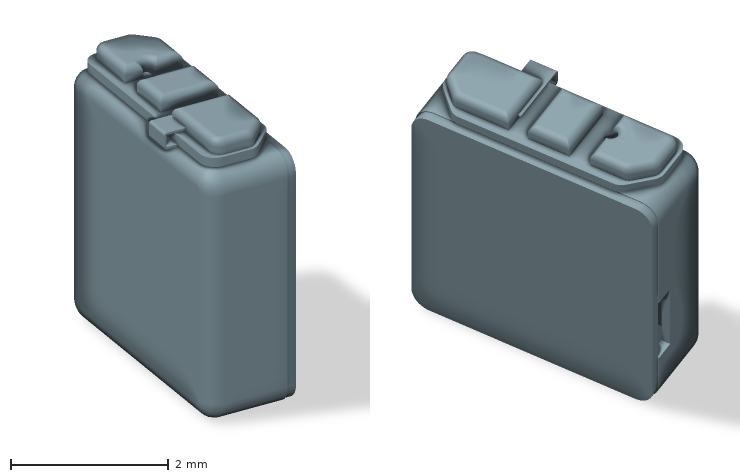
import cadquery as cq

cos_45 = 0.5**0.5

case_side = 3.58
case_corner_radius = 0.277
case_front_fillet = 0.23
case_depth = 1.295
wall = 0.13

back_inset = 0.015
shell_depth = case_depth - wall

window_bottom = 0.805
window_height = 1.025
window_width = 0.285

strip_thickness = 0.03
board_bottom = case_side + strip_thickness
board_thickness = 0.13
board_top = board_bottom + board_thickness
board_half_width = 1.615
board_front = 0.103
board_back = 1.2
board_chamfer = 0.392
board_corner_radius = 0.21

total_height = 3.96
button_side_inset = 0.05
button_front_inset = 0.125
button_back_inset = 0.123
button_half_width = board_half_width - button_side_inset
button_front = board_front + button_front_inset
button_back = board_back - button_back_inset
button_chamfer = 0.29
button_corner_radius = 0.15
button_top_fillet = 0.103
left_button_end = -0.725
middle_button_start = -0.425
middle_button_end = 0.185
right_button_start = 0.47

well_x = -0.74
well_y = 0.585
well_radius = 0.095
dome_center_height = 0.03
dome_center_z = board_top + dome_center_height

strip_start = 0.428
strip_width = 0.392
strip_front = -0.085
strip_top = 3.817
strip_upper_end = 0.845
strip_lower_end = 0.505
strip_bend_radius = 0.04


def upright_block(side, corner_radius, y_start, y_end):
    """Square block with rounded corners, centred in the case outline, between two Y positions."""
    return (
        cq.Workplane("XZ", origin=(0, y_start, case_side / 2))
        .rect(side, side)
        .extrude(y_start - y_end)
        .edges("|Y")
        .fillet(corner_radius)
    )


def make_case():
    shell = upright_block(case_side, case_corner_radius, 0, shell_depth)
    shell = shell.faces("<Y").edges().fillet(case_front_fillet)
    back_plate = upright_block(
        case_side - 2 * back_inset, case_corner_radius - back_inset, shell_depth, case_depth
    )
    cavity = upright_block(case_side - 2 * wall, case_corner_radius - wall, wall, shell_depth)
    window = cq.Workplane("XY").box(wall, window_width, window_height, centered=False)
    window = window.translate((-case_side / 2, shell_depth - window_width, window_bottom))
    return shell.union(back_plate).cut(cavity).cut(window)


def chamfered_plate(half_width, front, back, chamfer, corner_radius, bottom, top):
    """Plate with two chamfered back corners and every upright edge rounded."""
    return (
        cq.Workplane("XY", origin=(0, 0, bottom))
        .moveTo(-half_width, front)
        .lineTo(half_width, front)
        .lineTo(half_width, back - chamfer)
        .lineTo(half_width - chamfer, back)
        .lineTo(-half_width + chamfer, back)
        .lineTo(-half_width, back - chamfer)
        .close()
        .extrude(top - bottom)
        .edges("|Z")
        .fillet(corner_radius)
    )


def make_button(x_start, x_end):
    """Stretch of the button outline between two X positions, with a rounded top edge."""
    outline = chamfered_plate(
        button_half_width, button_front, button_back, button_chamfer, button_corner_radius,
        board_top, total_height,
    )
    slice_box = cq.Workplane("XY").box(x_end - x_start, case_depth, total_height, centered=False)
    button = outline.intersect(slice_box.translate((x_start, 0, 0)))
    return button.faces(">Z").edges().fillet(button_top_fillet)


def make_well():
    """Round cutter that flares out at the top to leave a rounded rim."""
    flare_start = total_height - button_top_fillet
    flare_radius = well_radius + button_top_fillet
    arc_offset = button_top_fillet * (1 - cos_45)
    return (
        cq.Workplane("XZ", origin=(well_x, well_y, 0))
        .moveTo(0, board_bottom)
        .lineTo(well_radius, board_bottom)
        .lineTo(well_radius, flare_start)
        .threePointArc((well_radius + arc_offset, total_height - arc_offset), (flare_radius, total_height))
        .lineTo(0, total_height)
        .close()
        .revolve(360, (0, 0, 0), (0, 1, 0))
    )


def make_post():
    """Domed post cut down to the segment beyond a 45 degree chord on its +X, -Y side."""
    arc_middle = well_radius * cos_45
    domed_post = (
        cq.Workplane("XZ", origin=(well_x, well_y, 0))
        .moveTo(0, case_side)
        .lineTo(well_radius, case_side)
        .lineTo(well_radius, dome_center_z)
        .threePointArc((arc_middle, dome_center_z + arc_middle), (0, dome_center_z + well_radius))
        .close()
        .revolve(360, (0, 0, 0), (0, 1, 0))
    )
    segment = (
        cq.Workplane("XY", origin=(well_x, well_y, case_side))
        .moveTo(well_radius, 0)
        .threePointArc((arc_middle, -arc_middle), (0, -well_radius))
        .close()
        .extrude(total_height - case_side)
    )
    return domed_post.intersect(segment)


def make_strip():
    inner_front = strip_front + strip_thickness
    inner_top = strip_top - strip_thickness
    return (
        cq.Workplane("YZ", origin=(strip_start, 0, 0))
        .moveTo(strip_lower_end, case_side)
        .lineTo(strip_front, case_side)
        .lineTo(strip_front, strip_top)
        .lineTo(strip_upper_end, strip_top)
        .lineTo(strip_upper_end, inner_top)
        .lineTo(inner_front, inner_top)
        .lineTo(inner_front, board_bottom)
        .lineTo(strip_lower_end, board_bottom)
        .close()
        .extrude(strip_width)
        .faces("<Y")
        .edges("|X")
        .fillet(strip_bend_radius)
    )


def make_button_board():
    board = chamfered_plate(
        board_half_width, board_front, board_back, board_chamfer, board_corner_radius,
        board_bottom, board_top,
    )
    buttons = [
        make_button(-button_half_width, left_button_end),
        make_button(middle_button_start, middle_button_end),
        make_button(right_button_start, button_half_width),
    ]
    for button in buttons:
        board = board.union(button)
    return board.cut(make_well()).union(make_post()).union(make_strip())


case = make_case()
button_board = make_button_board()
result = cq.Compound.makeCompound([case.val(), button_board.val()])